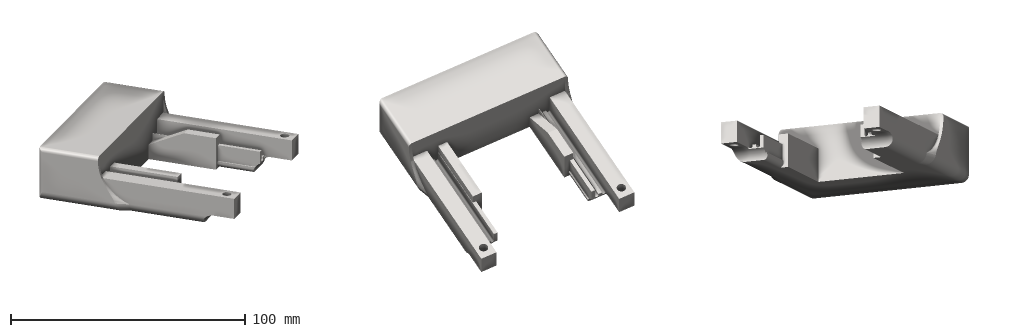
import cadquery as cq
import math

total_length = 89.25
total_width = 77.4
total_height = 24.62
half_width = total_width / 2
bottom_radius = 4.35

block_length = 27.3
block_edge_radius = 1.8

arm_outer_y = 37.2
arm_width = 7.4
arm_inner_y = arm_outer_y - arm_width
arm_top_z = 14.66
tail_bottom_z = 5.3
arch_start_x = 74.4
hole_diameter = 4.0
hole_end_distance = 4.8

flare_radius = 20.0
flare_top_z = 23.0
flare_center_x = block_length + flare_radius
arm_flare_middle = (34.6, 8.0)
arm_flare_end_x = 41.2
skirt_waist = (33.2, 7.9)
skirt_end_x = 35.1
skirt_end_direction = (0.3, -1.0)
skirt_foot_x = 36.7

rail_end_x = 77.3
rib_width = 1.75
rail_inner_y = arm_inner_y - 4 * rib_width
rail_top_z = 10.3
low_rib_top_z = 6.5
groove_floor_z = 5.0
groove_radius = 0.8
ledge_projection = 0.65
ledge_top_z = 3.0
ledge_bottom_radius = 2.1

plate_end_x = 58.2
plate_inner_y = 20.05
plate_thickness = 4.35
plate_slope_start_x = 43.6
plate_slope_angle = 26.0


def box(x_range, y_range, z_range):
    """Axis-aligned box between the given limits."""
    size = [high - low for low, high in (x_range, y_range, z_range)]
    corner = (x_range[0], y_range[0], z_range[0])
    return cq.Workplane("XY").box(*size, centered=False).translate(corner)


def make_envelope(length):
    """Rounded bar, from which the block and the skirts are taken."""
    bar = box((0, length), (-half_width, half_width), (0, total_height))
    top_and_bottom = bar.edges("|X and >Z").fillet(block_edge_radius)
    top_and_bottom = top_and_bottom.edges("|X and <Z").fillet(bottom_radius)
    front_corners = bar.edges("|Z and <X").fillet(block_edge_radius)
    return top_and_bottom.intersect(front_corners)


def flare_point(z):
    """Point (x, z) of the concave flare arc at height z."""
    return flare_center_x - math.sqrt(flare_radius**2 - (flare_top_z - z) ** 2), z


def make_upper_skirt():
    """Flare above the rounded bottom, ruled from the block side to the arm side."""
    split = flare_point(arm_top_z)
    split_tangent = (flare_top_z - arm_top_z, split[0] - flare_center_x)
    upper_middle = flare_point((flare_top_z + arm_top_z) / 2)
    outer = (
        cq.Workplane("XZ", origin=(0, half_width, 0))
        .moveTo(block_length, bottom_radius)
        .lineTo(block_length, flare_top_z)
        .threePointArc(upper_middle, split)
        .spline(
            [skirt_waist, (skirt_end_x, bottom_radius)],
            tangents=[split_tangent, skirt_end_direction],
            includeCurrent=True,
        )
        .close()
    )
    inner = (
        cq.Workplane("XZ", origin=(0, arm_outer_y, 0))
        .moveTo(block_length, bottom_radius)
        .lineTo(block_length, flare_top_z)
        .threePointArc(upper_middle, split)
        .threePointArc(arm_flare_middle, (arm_flare_end_x, bottom_radius))
        .close()
    )
    wires = [sketch.wire().val() for sketch in (outer, inner)]
    return cq.Workplane(cq.Solid.makeLoft(wires, True))


def foot_section(plane, outer_y, height):
    """Section of the rounded bottom; height is measured along the plane."""
    corner_y = outer_y - bottom_radius
    return (
        cq.Workplane(plane)
        .moveTo(arm_inner_y, 0)
        .lineTo(corner_y, 0)
        .ellipseArc(bottom_radius, height, 270, 360, startAtCurrent=True)
        .lineTo(arm_inner_y, height)
        .close()
        .wire()
        .val()
    )


def make_skirt_foot():
    """Rounded bottom from the block to the arm, narrowing past a slanted section."""
    foot_lean = skirt_foot_x - skirt_end_x
    slant = cq.Plane((skirt_foot_x, 0, 0), (0, 1, 0), (bottom_radius, 0, foot_lean))
    upright = cq.Plane((arm_flare_end_x, 0, 0), (0, 1, 0), (1, 0, 0))
    slant_height = math.hypot(bottom_radius, foot_lean)
    wide_wire = foot_section(slant, half_width, slant_height)
    narrow_wire = foot_section(upright, arm_outer_y, bottom_radius)
    narrowing = cq.Workplane(cq.Solid.makeLoft([wide_wire, narrow_wire], True))
    straight = (
        cq.Workplane("XZ", origin=(0, arm_inner_y, 0))
        .moveTo(block_length, 0)
        .lineTo(skirt_foot_x, 0)
        .lineTo(skirt_end_x, bottom_radius)
        .lineTo(block_length, bottom_radius)
        .close()
        .extrude(arm_inner_y - half_width)
        .intersect(make_envelope(total_length))
    )
    return straight.union(narrowing)


def make_arm():
    """Arm on the +Y side with a rounded lower outer edge and an end hole."""
    arm = box((block_length, total_length), (arm_inner_y, arm_outer_y), (0, arm_top_z))
    arm = arm.edges("|X and <Z and >Y").fillet(bottom_radius)
    hole = (
        cq.Workplane("XY")
        .center(total_length - hole_end_distance, arm_outer_y - arm_width / 2)
        .circle(hole_diameter / 2)
        .extrude(arm_top_z)
    )
    return arm.cut(hole)


def make_rail():
    """Rail on the +Y side: tall rib, two round-bottomed grooves, low rib."""
    x_range = (block_length, rail_end_x)
    rail = box(x_range, (rail_inner_y, arm_inner_y), (ledge_top_z, groove_floor_z + groove_radius))
    tall_rib = box(x_range, (rail_inner_y, rail_inner_y + rib_width), (ledge_top_z, rail_top_z))
    low_rib_y = rail_inner_y + 2 * rib_width
    low_rib = box(x_range, (low_rib_y, low_rib_y + rib_width), (ledge_top_z, low_rib_top_z))
    rail = rail.union(tall_rib).union(low_rib)
    for groove_y in (rail_inner_y + rib_width, low_rib_y + rib_width):
        groove = box(x_range, (groove_y, groove_y + rib_width), (groove_floor_z, rail_top_z))
        rail = rail.cut(groove.edges("|X and <Z").fillet(groove_radius))
    return rail


def make_ledge():
    """Base of the +Y rail, which projects past its inner face and is rounded underneath."""
    y_range = (rail_inner_y - ledge_projection, arm_inner_y)
    ledge = box((block_length, rail_end_x), y_range, (0, ledge_top_z))
    return ledge.edges("|X and <Z and <Y").fillet(ledge_bottom_radius)


def make_plate():
    """Guide plate on the +Y side."""
    y_range = (plate_inner_y, plate_inner_y + plate_thickness)
    return box((block_length, plate_end_x), y_range, (0, arm_top_z))


def make_plate_slope():
    """Wedge that lowers the top of the +Y plate towards the block."""
    run = plate_slope_start_x - block_length
    drop = run * math.tan(math.radians(plate_slope_angle))
    return (
        cq.Workplane("XZ", origin=(0, plate_inner_y, 0))
        .moveTo(plate_slope_start_x, arm_top_z)
        .lineTo(block_length, arm_top_z)
        .lineTo(block_length, arm_top_z - drop)
        .close()
        .extrude(-plate_thickness)
    )


def make_end_arch():
    """Space under the arm tail, rounded where it meets the arm underside."""
    arch_center_x = arch_start_x + tail_bottom_z
    flat_part = box((arch_center_x, total_length), (0, half_width), (0, tail_bottom_z))
    round_part = cq.Workplane("XZ").center(arch_center_x, 0).circle(tail_bottom_z).extrude(-half_width)
    return round_part.union(flat_part)


arm_and_rail = make_arm().union(make_rail()).union(make_ledge()).cut(make_end_arch())
side = arm_and_rail.union(make_plate())
side = side.union(make_upper_skirt()).union(make_skirt_foot())
plus_side = side.cut(make_plate_slope())
minus_side = side.mirror("XZ")

result = make_envelope(block_length).union(plus_side).union(minus_side)